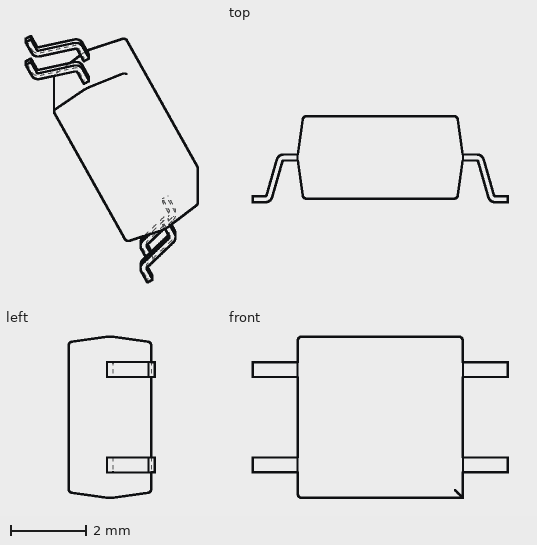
import cadquery as cq
import math

HOUSING_LENGTH = 4.4
HOUSING_HEIGHT = 4.3
HOUSING_DEPTH = 2.2
DRAFT_ANGLE = 8.0
EDGE_RADIUS = 0.1

OVERALL_LENGTH = 6.8
LEAD_THICKNESS = 0.16
LEAD_WIDTH = 0.4
LEAD_PITCH = 2.535
LEG_ANGLE = 74.0
FOOT_FLAT = 0.33
FOOT_STANDOFF = 0.095
INNER_BEND_RADIUS = 0.035

OUTER_BEND_RADIUS = INNER_BEND_RADIUS + LEAD_THICKNESS
HALF_THICKNESS = LEAD_THICKNESS / 2
HALF_DEPTH = HOUSING_DEPTH / 2


def make_housing():
    """Band and two drafted halves, rounded at the face rims and at all corners but the +X, -Z one."""
    def band_outline(y):
        plane = cq.Workplane("XZ", origin=(0, y, 0))
        return plane.rect(HOUSING_LENGTH, HOUSING_HEIGHT)

    half_rise = HALF_DEPTH - HALF_THICKNESS
    band = band_outline(HALF_THICKNESS).extrude(LEAD_THICKNESS)
    front = band_outline(-HALF_THICKNESS).extrude(half_rise, taper=DRAFT_ANGLE)
    back = front.mirror("XZ")
    body = band.union(front).union(back)

    sharp_corner = cq.selectors.BoxSelector(
        (0, -HOUSING_DEPTH, -HOUSING_HEIGHT), (HOUSING_LENGTH, HOUSING_DEPTH, 0)
    )
    rounded_corners = cq.StringSyntaxSelector("not(#Y)") - sharp_corner
    face_rims = cq.StringSyntaxSelector("<Y or >Y")
    return body.edges(rounded_corners + face_rims).fillet(EDGE_RADIUS)


def make_lead():
    """Left lead centred on Z = 0: foot, sloping leg and a shoulder that meets the housing wall."""
    foot_end_x = -OVERALL_LENGTH / 2
    shoulder_end_x = -HOUSING_LENGTH / 2
    foot_bottom = -HALF_DEPTH - FOOT_STANDOFF
    foot_top = foot_bottom + LEAD_THICKNESS

    half_turn = math.tan(math.radians(LEG_ANGLE / 2))
    miter = LEAD_THICKNESS * half_turn
    foot_outer_x = foot_end_x + FOOT_FLAT + OUTER_BEND_RADIUS * half_turn
    leg_run = (HALF_THICKNESS - foot_top) / math.tan(math.radians(LEG_ANGLE))
    foot_outer = (foot_outer_x, foot_bottom)
    foot_inner = (foot_outer_x - miter, foot_top)
    shoulder_outer = (foot_inner[0] + leg_run, HALF_THICKNESS)
    shoulder_inner = (shoulder_outer[0] + miter, -HALF_THICKNESS)

    strip = (
        cq.Workplane("XY")
        .polyline([
            (foot_end_x, foot_bottom),
            foot_outer,
            shoulder_inner,
            (shoulder_end_x, -HALF_THICKNESS),
            (shoulder_end_x, HALF_THICKNESS),
            shoulder_outer,
            foot_inner,
            (foot_end_x, foot_top),
        ])
        .close()
        .extrude(LEAD_WIDTH / 2, both=True)
    )
    bends = [
        (foot_outer, OUTER_BEND_RADIUS),
        (shoulder_outer, OUTER_BEND_RADIUS),
        (foot_inner, INNER_BEND_RADIUS),
        (shoulder_inner, INNER_BEND_RADIUS),
    ]
    for (x, y), radius in bends:
        corner = cq.selectors.NearestToPointSelector((x, y, 0))
        strip = strip.edges("|Z").edges(corner).fillet(radius)
    return strip


housing = make_housing()

left_lead = make_lead()
right_lead = left_lead.mirror("YZ")
leads = []
for lead in (left_lead, right_lead):
    for z in (-LEAD_PITCH / 2, LEAD_PITCH / 2):
        leads.append(lead.translate((0, 0, z)).val())

result = cq.Compound.makeCompound([housing.val(), *leads])